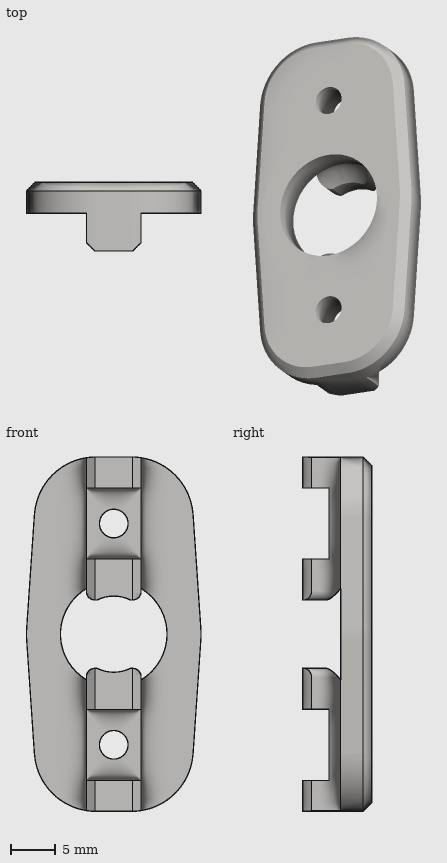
import cadquery as cq

length = 40.0
waist_width = 19.75
end_width = 17.05
corner_radius = 7.0
waist_radius = 10.0
plate_thickness = 3.5
chamfer = 1.0

rib_width = 6.2
rib_height = 4.3
rib_inner_end = 3.85
rib_nose_radius = 1.0

notch_length = 8.0
notch_floor_height = 1.3
screw_hole_diameter = 3.2
screw_hole_offset = 12.5

opening_radius = 6.0
rib_bore_radius = 4.3
taper_depth = opening_radius - rib_bore_radius

half_length = length / 2


def make_outline(depth):
    """Rounded hexagonal prism from Y = 0 to Y = depth."""
    half_end = end_width / 2
    half_waist = waist_width / 2
    prism = (
        cq.Workplane("XZ")
        .polyline([
            (-half_end, half_length),
            (half_end, half_length),
            (half_waist, 0),
            (half_end, -half_length),
            (-half_end, -half_length),
            (-half_waist, 0),
        ])
        .close()
        .extrude(-depth)
    )
    prism = prism.edges("|Y and (<X or >X)").fillet(waist_radius)
    return prism.edges("|Y and (>Z or <Z)").fillet(corner_radius)


def make_plate():
    plate = make_outline(plate_thickness).faces(">Y").chamfer(chamfer)
    opening = cq.Workplane("XZ").circle(opening_radius).extrude(-plate_thickness)
    return plate.cut(opening)


def make_tapered_bore():
    """Bore between the ribs: a 45-degree cone at the plate, then a straight cylinder."""
    return (
        cq.Workplane("XY")
        .polyline([
            (0, 0),
            (opening_radius, 0),
            (rib_bore_radius, -taper_depth),
            (rib_bore_radius, -rib_height),
            (0, -rib_height),
        ])
        .close()
        .revolve(360, (0, 0, 0), (0, 1, 0))
    )


def make_upper_rib():
    rib_length = half_length - rib_inner_end
    rib = (
        cq.Workplane("XZ", origin=(0, 0, rib_inner_end + rib_length / 2))
        .rect(rib_width, rib_length)
        .extrude(rib_height)
    )
    chamfered_rib = rib.edges("<Y and |Z").chamfer(chamfer)
    rounded_rib = rib.edges("|Y and <Z").fillet(rib_nose_radius)
    outline = make_outline(-rib_height)
    return rounded_rib.intersect(chamfered_rib).intersect(outline).cut(make_tapered_bore())


def cut_notch_and_hole(body, center_z):
    notch_depth = rib_height - notch_floor_height
    notch = (
        cq.Workplane("XZ", origin=(0, -notch_floor_height, center_z))
        .rect(rib_width, notch_length)
        .extrude(notch_depth)
    )
    hole = (
        cq.Workplane("XZ", origin=(0, plate_thickness, center_z))
        .circle(screw_hole_diameter / 2)
        .extrude(plate_thickness + rib_height)
    )
    return body.cut(notch).cut(hole)


upper_rib = make_upper_rib()
lower_rib = upper_rib.mirror("XY")
result = make_plate().union(upper_rib).union(lower_rib)
for side in (1, -1):
    result = cut_notch_and_hole(result, side * screw_hole_offset)